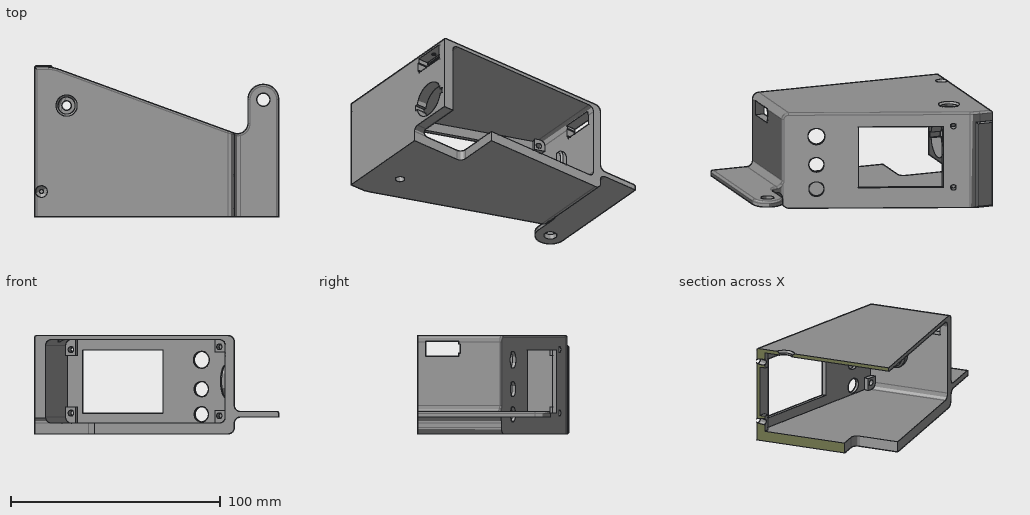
import cadquery as cq
import math

LENGTH = 116.5
DEPTH = 72.2
HEIGHT = 47.0
MARGIN = 1.2

BOX_WIDTH = 95.3
FLOOR = 5.2
CEILING = 2.0
LEFT_WALL = 5.2
RIGHT_WALL = 4.4
BACK_WALL = 1.7
OUTER_ROUND = 3.1
INNER_ROUND = 2.8
TOP_EDGE_ROUND = 1.0

SLANT_ANGLE = 20.0
SLANT_START_X = 9.0
SLANT_BLEND = 14.0

PAD_THICKNESS = 0.8
PAD_RIGHT = 8.4
PAD_TOP = 42.2
PAD_BEVEL = 0.7

TAB_BOTTOM = 8.0
TAB_THICKNESS = 2.8
TAB_WIDTH = 14.8
TAB_HOLE_Y = 55.9
TAB_HOLE_DIAMETER = 6.2
TAB_ROOT_ROUND = 2.8
TAB_INSIDE_CORNER = 4.9

CAVITY_CORNER_X = 15.6

POST_HEIGHT = 2.3
POST_HOLE_DIAMETER = 2.7
LEFT_POST_EDGES_X = (14.0, 19.6)
LEFT_POST_TALL = 7.7
LEFT_POST_HOLE_X = 17.2
LEFT_POST_HOLE_INSET = 4.8
RIGHT_POST_EDGE_X = 86.0
RIGHT_POST_TALL = 6.0
RIGHT_POST_HOLE_X = 88.0
RIGHT_POST_HOLE_INSET = 3.5
RIGHT_POST_HOLE_DEPTH = 3.5

SCREEN_LEFT = 23.0
SCREEN_RIGHT = 61.1
SCREEN_BOTTOM = 10.0
SCREEN_TOP = 40.1
BUTTON_X = 79.4
BUTTONS = ((35.4, 8.0), (21.4, 7.2), (9.4, 7.2))

BOSS_X = 91.3
BOSS_Y = 29.7
BOSS_DIAMETER = 17.7
BOSS_LENGTH = 3.5
BOSS_CHAMFER = 0.9

NOTCH_WIDTH = 28.6
NOTCH_DEPTH = 22.8
NOTCH_HEIGHT = 7.7
NOTCH_SIDE_ROUND = 2.9
NOTCH_TOP_ROUND = 2.3

SLOT_FRONT = 4.0
SLOT_BACK = 19.6
SLOT_BOTTOM = 37.1
SLOT_TOP = 44.1
RELIEF_DEPTH = 0.7
RELIEF_BOTTOM = 38.5
RELIEF_TOP = 42.9

PORT_Y = 12.0
PORT_Z = 18.2
PORT_DIAMETER = 17.6
PORT_KEY_SPAN = 20.1
PORT_KEY_WIDTH = 2.8

ACCESS_X = 15.3
ACCESS_Y = 53.1
ACCESS_DIAMETER = 8.2
ACCESS_RIM_DIAMETER = 10.1
FLOOR_HOLE_DIAMETER = 4.4

CLAMP_X = 3.3
CLAMP_Y = 12.1
CLAMP_DIAMETER = 2.0
CLAMP_HEAD_DIAMETER = 5.6
CLAMP_BOTTOM = 31.4

SIN = math.sin(math.radians(SLANT_ANGLE))
COS = math.cos(math.radians(SLANT_ANGLE))
TAN = SIN / COS
BACK_FLAT_Y = DEPTH - PAD_THICKNESS
CAVITY_TOP = HEIGHT - CEILING
CAVITY_RIGHT = BOX_WIDTH - RIGHT_WALL
CAVITY_MID_Z = (FLOOR + CAVITY_TOP) / 2
TAB_LEFT = LENGTH - TAB_WIDTH
TAB_TOP = TAB_BOTTOM + TAB_THICKNESS
TAB_MID_X = LENGTH - TAB_WIDTH / 2


def slant_y(x):
    """Y of the outer slanted face."""
    return BACK_FLAT_Y - (x - SLANT_START_X) * TAN


def inner_slant_y(x):
    """Y of the inner slanted face."""
    return slant_y(x) - BACK_WALL / COS


def slant_plane(x, z):
    """Plane on the inner slanted face: local x to the right, local y up, normal to the front."""
    origin = (x, inner_slant_y(x), z)
    return cq.Workplane(cq.Plane(origin=origin, xDir=(COS, -SIN, 0), normal=(-SIN, -COS, 0)))


def box_between(low, high):
    size = [end - start for start, end in zip(low, high)]
    return cq.Workplane("XY").box(*size, centered=False).translate(low)


def upright_edge_at(x, y):
    """Selector of the vertical edge standing at x, y."""
    reach = 0.1
    return cq.selectors.BoxSelector((x - reach, y - reach, 0), (x + reach, y + reach, HEIGHT))


def vertical_hole(x, y, diameter, bottom, top):
    return cq.Workplane("XY", origin=(x, y, bottom)).circle(diameter / 2).extrude(top - bottom)


def countersink(x, y, large, small):
    """Right-angled cone opening at the top face."""
    depth = (large - small) / 2
    cone = cq.Solid.makeCone(large / 2, small / 2, depth, cq.Vector(x, y, HEIGHT), cq.Vector(0, 0, -1))
    return cq.Workplane("XY").add(cone)


def make_plan():
    """Full-height block with the outline of the box and tab seen from above."""
    return (
        cq.Workplane("XY")
        .moveTo(0, 0)
        .lineTo(0, BACK_FLAT_Y)
        .lineTo(SLANT_START_X, BACK_FLAT_Y)
        .lineTo(TAB_LEFT, slant_y(TAB_LEFT))
        .lineTo(TAB_LEFT, TAB_HOLE_Y)
        .threePointArc((TAB_MID_X, TAB_HOLE_Y + TAB_WIDTH / 2), (LENGTH, TAB_HOLE_Y))
        .lineTo(LENGTH, 0)
        .close()
        .extrude(HEIGHT)
        .edges(upright_edge_at(SLANT_START_X, BACK_FLAT_Y))
        .fillet(SLANT_BLEND)
        .edges(upright_edge_at(TAB_LEFT, slant_y(TAB_LEFT)))
        .fillet(TAB_INSIDE_CORNER)
    )


def make_body():
    """Solid box with its tab, cut to the plan outline and rounded along the top."""
    box = box_between((0, 0, 0), (BOX_WIDTH, DEPTH, HEIGHT)).edges("|Y and >X").fillet(OUTER_ROUND)
    tab = box_between((BOX_WIDTH - MARGIN, 0, TAB_BOTTOM), (LENGTH, DEPTH, TAB_TOP))
    reach = 0.1
    tab_root = cq.selectors.BoxSelector(
        (BOX_WIDTH - reach, -MARGIN, TAB_BOTTOM - reach),
        (BOX_WIDTH + reach, DEPTH + MARGIN, TAB_TOP + reach),
    )
    section = box.union(tab).edges("|Y").edges(tab_root).fillet(TAB_ROOT_ROUND)
    body = section.intersect(make_plan())
    return body.faces(">Z").edges("<X or >Y").fillet(TOP_EDGE_ROUND)


def make_cavity():
    """Inside space, rounded along the floor and ceiling at both side walls."""
    corner_y = inner_slant_y(CAVITY_CORNER_X)
    bend_y = corner_y - (CAVITY_CORNER_X - LEFT_WALL) / TAN
    block = (
        cq.Workplane("XY", origin=(0, 0, FLOOR))
        .moveTo(LEFT_WALL, -MARGIN)
        .lineTo(LEFT_WALL, bend_y)
        .lineTo(CAVITY_CORNER_X, corner_y)
        .lineTo(CAVITY_RIGHT, inner_slant_y(CAVITY_RIGHT))
        .lineTo(CAVITY_RIGHT, -MARGIN)
        .close()
        .extrude(CAVITY_TOP - FLOOR)
    )
    flat_faces = block.faces("<Z or >Z")
    tilted_wall = cq.selectors.BoxSelector(
        (LEFT_WALL, bend_y, FLOOR - MARGIN),
        (CAVITY_CORNER_X - MARGIN, corner_y - MARGIN, HEIGHT),
    )
    side_edges = flat_faces.edges("<X or >X").add(flat_faces.edges(tilted_wall))
    return side_edges.fillet(INNER_ROUND)


def make_post(left_x, right_x, bottom, top):
    """Square screw post standing on the slanted back, given by the span of its front face."""
    foot_x = left_x + POST_HEIGHT * SIN
    width = (right_x - left_x) / COS
    return slant_plane(foot_x, bottom).rect(width, top - bottom, centered=False).extrude(POST_HEIGHT)


def make_post_hole(face_x, z, depth):
    """Hole square to the post face, centred where that face has the given x and z."""
    foot_x = face_x + POST_HEIGHT * SIN
    face = slant_plane(foot_x, z).workplane(offset=POST_HEIGHT)
    return face.circle(POST_HOLE_DIAMETER / 2).extrude(-depth)


def add_posts(body, cavity):
    """Join the four corner posts, trimmed to the cavity, and drill them."""
    left, right = LEFT_POST_EDGES_X
    posts = (
        make_post(left, right, FLOOR, FLOOR + LEFT_POST_TALL),
        make_post(left, right, CAVITY_TOP - LEFT_POST_TALL, CAVITY_TOP),
        make_post(RIGHT_POST_EDGE_X, CAVITY_RIGHT, FLOOR, FLOOR + RIGHT_POST_TALL),
        make_post(RIGHT_POST_EDGE_X, CAVITY_RIGHT, CAVITY_TOP - RIGHT_POST_TALL, CAVITY_TOP),
    )
    for post in posts:
        body = body.union(post.intersect(cavity))
    through = POST_HEIGHT + BACK_WALL + 2 * MARGIN
    for z in (FLOOR + LEFT_POST_HOLE_INSET, CAVITY_TOP - LEFT_POST_HOLE_INSET):
        body = body.cut(make_post_hole(LEFT_POST_HOLE_X, z, through))
    for z in (FLOOR + RIGHT_POST_HOLE_INSET, CAVITY_TOP - RIGHT_POST_HOLE_INSET):
        body = body.cut(make_post_hole(RIGHT_POST_HOLE_X, z, RIGHT_POST_HOLE_DEPTH))
    return body


def make_round_boss():
    """Chamfered disc on the right wall, its axis parallel to the slanted back."""
    plane = cq.Plane(origin=(BOSS_X, BOSS_Y, CAVITY_MID_Z), xDir=(0, 0, 1), normal=(-COS, SIN, 0))
    disc = (
        cq.Workplane(plane)
        .circle(BOSS_DIAMETER / 2)
        .extrude(-BOSS_LENGTH)
        .faces("<X")
        .edges("<X")
        .chamfer(BOSS_CHAMFER)
    )
    return disc.intersect(box_between((0, 0, 0), (BOX_WIDTH - RIGHT_WALL / 2, DEPTH, HEIGHT)))


def make_back_pad():
    pad = box_between((0, BACK_FLAT_Y, 0), (PAD_RIGHT, DEPTH, PAD_TOP))
    return pad.faces(">Y").edges().chamfer(PAD_BEVEL)


def make_notch():
    notch = box_between((-MARGIN, -MARGIN, -MARGIN), (NOTCH_WIDTH, NOTCH_DEPTH, NOTCH_HEIGHT))
    notch = notch.edges("|Z and >X and >Y").fillet(NOTCH_SIDE_ROUND)
    return notch.faces(">Z").edges(">Y").fillet(NOTCH_TOP_ROUND)


def make_side_slot():
    right = BOX_WIDTH + MARGIN
    relief_back = SLOT_BACK + RELIEF_DEPTH
    slot = box_between((-MARGIN, SLOT_FRONT, SLOT_BOTTOM), (right, SLOT_BACK, SLOT_TOP))
    relief = box_between((-MARGIN, SLOT_BACK, RELIEF_BOTTOM), (right, relief_back, RELIEF_TOP))
    taller = box_between((-MARGIN, SLOT_FRONT, SLOT_BOTTOM), (LEFT_WALL, SLOT_BACK, CAVITY_TOP))
    return slot.union(relief).union(taller)


def make_round_port():
    port = cq.Workplane("YZ", origin=(-MARGIN, PORT_Y, PORT_Z))
    length = LEFT_WALL + 2 * MARGIN
    disc = port.circle(PORT_DIAMETER / 2).extrude(length)
    return disc.union(port.rect(PORT_KEY_SPAN, PORT_KEY_WIDTH).extrude(length))


def make_screen_window():
    low = (SCREEN_LEFT, inner_slant_y(SCREEN_RIGHT) - MARGIN, SCREEN_BOTTOM)
    return box_between(low, (SCREEN_RIGHT, DEPTH, SCREEN_TOP))


def make_button_hole(z, diameter):
    """Hole square to the slanted back."""
    start = slant_plane(BUTTON_X, z).workplane(offset=MARGIN)
    return start.circle(diameter / 2).extrude(-BACK_WALL - 2 * MARGIN)


def make_access_holes():
    rim = countersink(ACCESS_X, ACCESS_Y, ACCESS_RIM_DIAMETER, ACCESS_DIAMETER)
    access = vertical_hole(ACCESS_X, ACCESS_Y, ACCESS_DIAMETER, CAVITY_TOP - MARGIN, HEIGHT + MARGIN)
    screw = vertical_hole(ACCESS_X, ACCESS_Y, FLOOR_HOLE_DIAMETER, -MARGIN, FLOOR + MARGIN)
    return access, rim, screw


def make_clamp_holes():
    shank = vertical_hole(CLAMP_X, CLAMP_Y, CLAMP_DIAMETER, CLAMP_BOTTOM, HEIGHT)
    return shank, countersink(CLAMP_X, CLAMP_Y, CLAMP_HEAD_DIAMETER, CLAMP_DIAMETER)


cavity = make_cavity()
result = add_posts(make_body().cut(cavity), cavity)
result = result.union(make_round_boss()).union(make_back_pad())
result = result.cut(make_screen_window())
for button_z, button_diameter in BUTTONS:
    result = result.cut(make_button_hole(button_z, button_diameter))
result = result.cut(make_notch()).cut(make_side_slot()).cut(make_round_port())
for hole in make_access_holes() + make_clamp_holes():
    result = result.cut(hole)
result = result.cut(vertical_hole(TAB_MID_X, TAB_HOLE_Y, TAB_HOLE_DIAMETER, 0, HEIGHT))